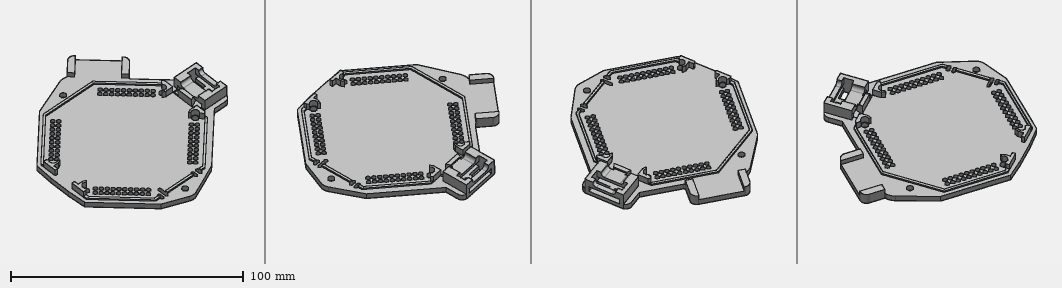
import cadquery as cq
import math

PLATE_T = 2.92
HEAD_HALF_W = 11.95
HEAD_Y = 51.5
HEAD_R = 3.0
SHOULDER = 53.9
SHOULDER_X = 36.3
WAIST_X = 38.35
WAIST_Y = -14.1
FOOT_X = 15.1
FOOT_Y = WAIST_Y - (WAIST_X - FOOT_X)
BOTTOM_HALF_W = 5.6
BOTTOM_Y = -37.99
EAR_X = 38.5
EAR_TIP_X = 44.13
EAR_TIP_Y = 0.17
EAR_R = 5.4
MOUNT_D = 3.0
BULGE_START = (-45.3, 4.05)
BULGE_MIDDLE = (-45.78, 6.1)
BULGE_END = (-45.65, 8.07)

TAB_TOP_SUM = 1.1
TAB_BOTTOM_SUM = -36.7
TAB_END = 69.1
TAB_R = 3.0
TAB_NOTCH_R = 0.8
TAB_RIDGE_W = 3.3
TAB_RIDGE_INNER = 54.4
TAB_H = 5.4

RIM_H = 3.7
RIM_HALF_W = 35.45
RIM_HALF_L = 35.7
RIM_DIAGONAL = 50.0
RIM_WALL = 1.2
RIM_DIAGONAL_WALL = 1.06
RIM_BOTTOM_WALL = 1.5
RIM_GAP_X = 5.3

PIN_D = 2.0
PIN_STEP = 2.54 / math.sqrt(2)
PIN_COUNT = 10
PIN_X = 30.1
PIN_Y = 13.93

POST_X = 10.38
POST_Y = 32.16
POST_TOP = 6.3
POST_BORE_D = 3.6
POST_INNER_X = 7.6
POST_NOSE = (8.4, 30.0)
POST_NOSE_Y = 31.7
POST_HEEL = (13.6, 34.7)
POST_HEEL_BEVEL = 1.0
BAR_OUTER_X = 12.6

SLOT_W = 1.55
SLOT_OUTER_X = 36.5
SLOT_SHORT_X = 33.2
SLOT_LONG_X = 30.7
SLOTS = [
    (SLOT_SHORT_X, 11.4),
    (SLOT_SHORT_X, 8.75),
    (SLOT_LONG_X, -8.5),
    (SLOT_SHORT_X, -11.05),
]

HOUSING_HALF_W = 9.65
HOUSING_Y = 38.5
HOUSING_TOP = 8.62
TUNNEL_HALF_W = 7.6
TUNNEL_TOP = 4.85
CHANNEL_HALF_W = 5.55
CHANNEL_FLOOR = 6.3
CHANNEL_R = 1.7
WINDOW_Y0 = 44.5
WINDOW_Y1 = 49.1
BRIDGE_HALF_W = 1.25
RECESS_DEPTH = 0.8
RAMP_L = 1.0

TONGUE_Y = 35.7
TONGUE_STEP_Y = 37.7
TONGUE_TOP = 7.1
TONGUE_HALF_W = 4.2
TONGUE_ROOT_Y = 40.5
TONGUE_ROOT_HALF_W = 2.0


def box(x0, x1, y0, y1, z0, z1):
    return cq.Workplane("XY").box(x1 - x0, y1 - y0, z1 - z0, centered=False).translate((x0, y0, z0))


def prism(points, z0, z1):
    return cq.Workplane("XY").workplane(offset=z0).polyline(points).close().extrude(z1 - z0)


def on_diagonals(xy_sum, y_minus_x):
    """Point where x + y and y - x take the given values."""
    return ((xy_sum - y_minus_x) / 2, (xy_sum + y_minus_x) / 2)


def mirrored(body):
    return body.union(body.mirror("YZ"))


def round_at(body, point, radius):
    """Round the vertical edge that stands at the given plan point."""
    x, y = point
    reach = 0.2
    picker = cq.selectors.BoxSelector((x - reach, y - reach, -1), (x + reach, y + reach, HOUSING_TOP))
    return body.edges("|Z").edges(picker).fillet(radius)


def plate():
    tab_top = on_diagonals(TAB_TOP_SUM, TAB_END)
    tab_bottom = on_diagonals(TAB_BOTTOM_SUM, TAB_END)
    notch = on_diagonals(TAB_TOP_SUM, SHOULDER)
    tab_root = on_diagonals(TAB_BOTTOM_SUM, TAB_RIDGE_INNER)
    ear_tip = (EAR_TIP_X, EAR_TIP_Y)
    head = [(-HEAD_HALF_W, HEAD_Y), (HEAD_HALF_W, HEAD_Y)]
    body = (
        cq.Workplane("XY")
        .moveTo(*head[0])
        .lineTo(*head[1])
        .lineTo(HEAD_HALF_W, SHOULDER - HEAD_HALF_W)
        .lineTo(SHOULDER_X, SHOULDER - SHOULDER_X)
        .lineTo(*ear_tip)
        .lineTo(WAIST_X, WAIST_Y)
        .lineTo(FOOT_X, FOOT_Y)
        .lineTo(BOTTOM_HALF_W, BOTTOM_Y)
        .lineTo(-BOTTOM_HALF_W, BOTTOM_Y)
        .lineTo(-FOOT_X, FOOT_Y)
        .lineTo(-WAIST_X, WAIST_Y)
        .lineTo(*BULGE_START)
        .threePointArc(BULGE_MIDDLE, BULGE_END)
        .lineTo(*tab_root)
        .lineTo(*tab_bottom)
        .lineTo(*tab_top)
        .lineTo(*notch)
        .lineTo(-HEAD_HALF_W, SHOULDER - HEAD_HALF_W)
        .close()
        .extrude(PLATE_T)
    )
    for ridge in tab_ridges():
        body = body.union(ridge)
    for corner in head:
        body = round_at(body, corner, HEAD_R)
    for corner in (tab_top, tab_bottom):
        body = round_at(body, corner, TAB_R)
    body = round_at(body, notch, TAB_NOTCH_R)
    return round_at(body, ear_tip, EAR_R)


def tab_ridges():
    ridge_sum = TAB_RIDGE_W * math.sqrt(2)
    for edge, inner in (
        (TAB_TOP_SUM, TAB_TOP_SUM - ridge_sum),
        (TAB_BOTTOM_SUM, TAB_BOTTOM_SUM + ridge_sum),
    ):
        corners = [
            on_diagonals(edge, TAB_END),
            on_diagonals(edge, TAB_RIDGE_INNER),
            on_diagonals(inner, TAB_RIDGE_INNER),
            on_diagonals(inner, TAB_END),
        ]
        yield prism(corners, 0, TAB_H)


def octagon(half_w, y_low, y_high, diagonal):
    right = [
        (diagonal + y_low, y_low),
        (half_w, half_w - diagonal),
        (half_w, diagonal - half_w),
        (diagonal - y_high, y_high),
    ]
    return right + [(-x, y) for x, y in reversed(right)]


def rim():
    outer = octagon(RIM_HALF_W, -RIM_HALF_L, RIM_HALF_L, RIM_DIAGONAL)
    inner = octagon(
        RIM_HALF_W - RIM_WALL,
        -RIM_HALF_L + RIM_BOTTOM_WALL,
        RIM_HALF_L,
        RIM_DIAGONAL - RIM_DIAGONAL_WALL * math.sqrt(2),
    )
    body = prism(outer, 0, RIM_H).cut(prism(inner, PLATE_T, RIM_H))
    bottom_gap = box(-RIM_GAP_X, RIM_GAP_X, -RIM_HALF_L, 0, PLATE_T, RIM_H)
    body = body.cut(bottom_gap)
    for low, high in ((SLOTS[1], SLOTS[0]), (SLOTS[3], SLOTS[2])):
        body = body.cut(box(SLOT_SHORT_X, SLOT_OUTER_X, low[1], high[1], PLATE_T, RIM_H))
    return body


def posts():
    heel_x, heel_y = POST_HEEL
    nose_x, nose_y = POST_NOSE
    bar_y = RIM_HALF_L - RIM_BOTTOM_WALL
    upper = [
        (POST_INNER_X, RIM_HALF_L),
        (heel_x - POST_HEEL_BEVEL, RIM_HALF_L),
        (heel_x, heel_y),
        (POST_X, POST_Y),
        (nose_x, nose_y),
        (POST_INNER_X, POST_NOSE_Y),
    ]
    lower = [
        (RIM_GAP_X, -RIM_HALF_L),
        (BAR_OUTER_X, -RIM_HALF_L),
        (BAR_OUTER_X, -bar_y),
        (POST_X, -POST_Y),
        (nose_x, -nose_y),
        (POST_INNER_X, -POST_NOSE_Y),
        (POST_INNER_X, -bar_y),
        (RIM_GAP_X, -bar_y),
    ]
    bores = (
        cq.Workplane("XY")
        .pushPoints([(POST_X, POST_Y), (POST_X, -POST_Y)])
        .circle(POST_BORE_D / 2)
        .extrude(POST_TOP)
    )
    pair = prism(upper, PLATE_T, POST_TOP).add(prism(lower, PLATE_T, POST_TOP)).combine()
    return mirrored(pair.cut(bores))


def housing():
    body = box(-HOUSING_HALF_W, HOUSING_HALF_W, HOUSING_Y, HEAD_Y, 0, HOUSING_TOP)
    channel = box(-CHANNEL_HALF_W, CHANNEL_HALF_W, HOUSING_Y, HEAD_Y, CHANNEL_FLOOR, HOUSING_TOP + CHANNEL_R)
    channel = channel.edges("|Y and <Z").fillet(CHANNEL_R)
    return body.cut(channel)


def tunnel():
    """Passage under the housing, with a sunk floor that ramps up at its near end."""
    floor = PLATE_T - RECESS_DEPTH
    low = (
        cq.Workplane("YZ")
        .workplane(offset=-TUNNEL_HALF_W)
        .moveTo(TONGUE_Y, PLATE_T)
        .lineTo(TONGUE_Y + RAMP_L, floor)
        .lineTo(HEAD_Y, floor)
        .lineTo(HEAD_Y, PLATE_T)
        .close()
        .extrude(2 * TUNNEL_HALF_W)
    )
    high = box(-TUNNEL_HALF_W, TUNNEL_HALF_W, HOUSING_Y, HEAD_Y, PLATE_T, TUNNEL_TOP)
    return low.union(high)


def windows():
    well = box(-TUNNEL_HALF_W, TUNNEL_HALF_W, WINDOW_Y0, WINDOW_Y1, PLATE_T, HOUSING_TOP)
    through = box(BRIDGE_HALF_W, TUNNEL_HALF_W, WINDOW_Y0, WINDOW_Y1, 0, PLATE_T)
    return well.union(mirrored(through))


def tongue():
    """Upright dovetail, widest at its free face, that runs in under the channel floor."""
    outline = [
        (-TONGUE_HALF_W, TONGUE_Y),
        (TONGUE_HALF_W, TONGUE_Y),
        (TONGUE_ROOT_HALF_W, TONGUE_ROOT_Y),
        (-TONGUE_ROOT_HALF_W, TONGUE_ROOT_Y),
    ]
    body = prism(outline, 0, TONGUE_TOP)
    step = box(-TONGUE_HALF_W, TONGUE_HALF_W, TONGUE_STEP_Y, TONGUE_ROOT_Y, CHANNEL_FLOOR, TONGUE_TOP)
    return body.cut(step)


def drill(points, diameter):
    return cq.Workplane("XY").pushPoints(points).circle(diameter / 2).extrude(PLATE_T)


def pin_holes():
    points = []
    for sx in (1, -1):
        for sy in (1, -1):
            for row in range(2):
                for i in range(PIN_COUNT):
                    x = PIN_X - (row + i) * PIN_STEP
                    y = PIN_Y + (i - row) * PIN_STEP
                    points.append((sx * x, sy * y))
    return drill(points, PIN_D)


def mount_holes():
    points = [(EAR_X, 0), (-EAR_X, 0)]
    points += [(sx * POST_X, sy * POST_Y) for sx in (1, -1) for sy in (1, -1)]
    return drill(points, MOUNT_D)


def slots():
    body = cq.Workplane("XY")
    for inner_x, y in SLOTS:
        length = SLOT_OUTER_X - inner_x
        slot = cq.Workplane("XY").center(inner_x + length / 2, y).slot2D(length, SLOT_W).extrude(RIM_H)
        body = body.add(slot)
    return body.combine()


result = plate().union(rim()).union(housing()).union(posts())
result = result.cut(tunnel()).cut(windows()).union(tongue())
result = result.cut(pin_holes()).cut(mount_holes()).cut(slots())